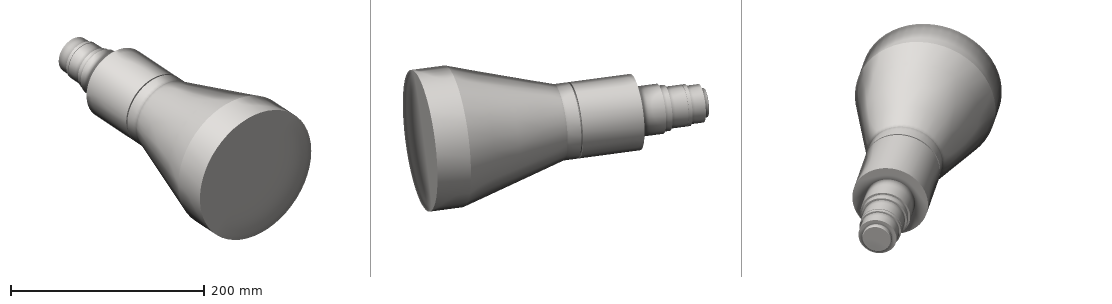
import cadquery as cq

total_length = 304.8
overlap = 0.3

tip_radius = 15.2
tip_chamfer = 0.5
front_step_radius = 20.0
seal_step_radius = 22.0
collar_radius = 24.0
shank_radius = 26.2

body_radius = 40.0
flare_radius = 74.0

front_step_start = 5.0
seal_step_start = 19.5
collar_start = 41.5
shank_start = 48.8
body_start = 75.3
cone_start = 157.3
rim_start = 269.2

seal_groove_start = 23.2
seal_groove_width = 1.0
seal_groove_depth = 0.5
body_groove_start = 140.8
body_groove_width = 1.8
body_groove_depth = 3.0


def revolved_body():
    """Solid turned from the stepped half profile about the X axis."""
    steps = [
        (front_step_start, front_step_radius),
        (seal_step_start, seal_step_radius),
        (collar_start, collar_radius),
        (shank_start, shank_radius),
        (body_start, body_radius),
    ]
    profile = cq.Workplane("XY").lineTo(0, tip_radius - tip_chamfer).lineTo(tip_chamfer, tip_radius)
    for start, radius in steps:
        profile = profile.hLineTo(start).vLineTo(radius)
    profile = (
        profile.hLineTo(cone_start)
        .lineTo(rim_start, flare_radius)
        .hLineTo(total_length)
        .vLineTo(0)
        .close()
    )
    return profile.revolve(360, (0, 0, 0), (1, 0, 0))


def ring_groove(start, width, outer_radius, depth):
    """Ring-shaped cutter for a square groove in a cylindrical surface."""
    return (
        cq.Workplane("YZ", origin=(start, 0, 0))
        .circle(outer_radius + overlap)
        .circle(outer_radius - depth)
        .extrude(width)
    )


seal_groove = ring_groove(seal_groove_start, seal_groove_width, seal_step_radius, seal_groove_depth)
body_groove = ring_groove(body_groove_start, body_groove_width, body_radius, body_groove_depth)

result = revolved_body().cut(seal_groove).cut(body_groove)